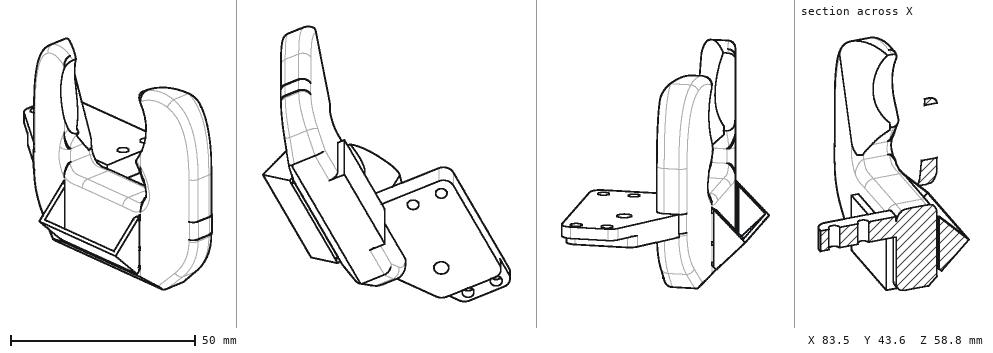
import cadquery as cq
import math


BODY_DEPTH = 12.06
BODY_HEIGHT = 58.81
HALF_WIDTH = 31.86
BOTTOM_HALF_WIDTH = 21.6
LOWER_CORNER_RADIUS = 17.0
SIDE_TOP_Z = 36.0
SIDE_CURVE_POINT = (30.95, 46.8)
CREST_X = 19.3
CREST_RADIUS = 10.45
SHOULDER_ANGLE = math.radians(26)
JAW_TIP_ANGLE = math.radians(-36)
BRIDGE_Z = 50.0
BACK_FILLET = 2.5
FRONT_FILLET = 2.0
BOTTOM_CHAMFER = 2.5

FLAT_HALF_WIDTH = 15.04
ARM_ANGLE = 13.1
ARM_SLOPE = math.tan(math.radians(ARM_ANGLE))

SADDLE_Z = 23.4
SADDLE_HALF_WIDTH = 8.0
OPENING_CORNER = (14.2, 24.4)
OPENING_SIDE = (15.35, 26.8)
OPENING_WAIST = (15.05, 29.9)
WAIST_DIRECTION = (-0.2, 1)
NECK_DIRECTION = (-0.5, 0.8)
OPENING_NECK = (11.8, 36.2)
OPENING_TOP = (9.0, 41.0)
BORE_RADIUS = 16.8
BORE_Z = 47.3

HOLLOW_BOTTOM_Z = 27.0
HOLLOW_BOTTOM_X = 16.3
HOLLOW_TOP_X = 28.3
HOLLOW_LIP_X = 13.0
HOLLOW_DEPTH = 9.3

BAND_HALF_WIDTH = 32.06
BAND_BOTTOM_Z = 17.9
BAND_INNER_X = 25.0

PLATE_LEFT = -51.41
PLATE_RIGHT = -10.68
PLATE_BACK = 22.18
PLATE_TOP = 23.27
LAYER_THICKNESS = 3.2
PLATE_BOTTOM = PLATE_TOP - 2 * LAYER_THICKNESS
PLATE_CORNER_RADIUS = 3.0
LOWER_LAYER_LEFT = -45.65
DIAGONAL_SLOPE = 0.714
DIAGONAL_LEFT_Y = 7.2
PLATE_ROOT_X = -31.5
PLATE_CONTACT_X = -20.0
LEFT_HOLE_DIAMETER = 3.2
RIGHT_HOLE_DIAMETER = 3.1
LEFT_HOLE_X = -48.8
RIGHT_HOLE_X = -14.6
HOLE_ROWS_Y = (9.6, 18.1)
CENTRE_HOLE_DIAMETER = 4.0
CENTRE_HOLE = (-36.5, 7.5)

BLOCK_HALF_WIDTH = 12.6
BLOCK_DEPTH = 2.06

TRAY_TOP_Z = 21.2
TRAY_REACH = 9.33
TRAY_APEX_Z = TRAY_TOP_Z - TRAY_REACH
TRAY_FLOOR_RUN = 8.07
TRAY_WALL = 1.42
TRAY_FLOOR = 1.06
TRAY_GAP = 0.5
WALL_FLARE = 1.1
SLOT_RANGES = ((5.8, 10.65), (11.5, 19.6))


def crest_point(angle):
    """Point of the crest arc at an angle from its highest point, positive toward the outside."""
    return (
        CREST_X + CREST_RADIUS * math.sin(angle),
        BODY_HEIGHT - CREST_RADIUS * (1 - math.cos(angle)),
    )


def outer_outline(depth):
    """Solid outline of the clamp, with the arms still bridged over the bore."""
    bend = LOWER_CORNER_RADIUS * math.sqrt(0.5)
    corner_x = HALF_WIDTH - LOWER_CORNER_RADIUS + bend
    corner_z = corner_x - BOTTOM_HALF_WIDTH
    arc_top_z = corner_z + bend
    half_turn = math.radians(45) / 2
    arc_mid = (
        HALF_WIDTH - LOWER_CORNER_RADIUS * (1 - math.cos(half_turn)),
        arc_top_z - LOWER_CORNER_RADIUS * math.sin(half_turn),
    )
    shoulder_direction = (-math.cos(SHOULDER_ANGLE), math.sin(SHOULDER_ANGLE))
    half = (
        cq.Workplane("XZ")
        .lineTo(BOTTOM_HALF_WIDTH, 0)
        .lineTo(corner_x, corner_z)
        .threePointArc(arc_mid, (HALF_WIDTH, arc_top_z))
        .lineTo(HALF_WIDTH, SIDE_TOP_Z)
        .spline(
            [SIDE_CURVE_POINT, crest_point(SHOULDER_ANGLE)],
            tangents=[(0, 1), shoulder_direction],
            includeCurrent=True,
        )
        .threePointArc((CREST_X, BODY_HEIGHT), crest_point(JAW_TIP_ANGLE))
        .lineTo(0, BRIDGE_Z)
        .close()
        .extrude(depth)
    )
    return half.union(half.mirror("YZ")).clean()


def opening(depth):
    """Cutter for the rounded space between the arms, above the saddle."""
    half = (
        cq.Workplane("XZ")
        .moveTo(0, SADDLE_Z)
        .lineTo(SADDLE_HALF_WIDTH, SADDLE_Z)
        .spline(
            [OPENING_CORNER, OPENING_SIDE, OPENING_WAIST],
            tangents=[(1, 0), WAIST_DIRECTION],
            includeCurrent=True,
        )
        .spline(
            [OPENING_NECK, OPENING_TOP],
            tangents=[WAIST_DIRECTION, NECK_DIRECTION],
            includeCurrent=True,
        )
        .lineTo(0, OPENING_TOP[1])
        .close()
        .extrude(depth)
    )
    return half.union(half.mirror("YZ")).clean()


def arm_front_y(x):
    """Y of an arm's sloping front face at distance x from the symmetry plane."""
    return -BODY_DEPTH + ARM_SLOPE * (x - FLAT_HALF_WIDTH)


def sloping_front_cutter():
    """Everything in front of the plane of the right arm's front face."""
    reach = 2 * HALF_WIDTH
    front_y = 2 * arm_front_y(-reach)
    return (
        cq.Workplane("XY")
        .moveTo(-reach, arm_front_y(-reach))
        .lineTo(reach, arm_front_y(reach))
        .lineTo(reach, front_y)
        .lineTo(-reach, front_y)
        .close()
        .extrude(BODY_HEIGHT)
    )


def rounded_blank(blank, front_selector):
    """Blank with the rims of its back face and of its front face rounded."""
    rounded = blank.faces(">Y").edges().fillet(BACK_FILLET)
    return rounded.faces(front_selector).edges("not <Z").fillet(FRONT_FILLET)


def centre_section():
    """Middle of the clamp, with a flat front."""
    blank = outer_outline(BODY_DEPTH).cut(opening(BODY_DEPTH))
    zone = cq.Workplane("XY").box(
        2 * FLAT_HALF_WIDTH, 2 * BODY_DEPTH, BODY_HEIGHT, centered=(True, True, False)
    )
    return rounded_blank(blank, "<Y").intersect(zone)


def right_arm():
    """Right arm, whose sloping front starts where the flat centre ends."""
    blank_depth = -arm_front_y(-HALF_WIDTH)
    blank = outer_outline(blank_depth).cut(opening(blank_depth)).cut(sloping_front_cutter())
    front = cq.selectors.ParallelDirSelector(cq.Vector(ARM_SLOPE, -1, 0))
    zone = cq.Workplane("XY").box(
        HALF_WIDTH, 2 * BODY_DEPTH, BODY_HEIGHT, centered=(False, True, False)
    ).translate((FLAT_HALF_WIDTH, 0, 0))
    return rounded_blank(blank, front).intersect(zone)


def bottom_chamfer():
    """Cutter that bevels the bottom front edge."""
    return (
        cq.Workplane("YZ")
        .moveTo(-BODY_DEPTH, 0)
        .lineTo(-BODY_DEPTH + BOTTOM_CHAMFER, 0)
        .lineTo(-BODY_DEPTH, BOTTOM_CHAMFER)
        .close()
        .extrude(HALF_WIDTH, both=True)
    )


def jaw_hollow():
    """Cutter behind the right jaw, upright at the bottom and slanting ever more toward the top."""

    def section(back_x, z):
        corners = [(back_x, 0), (HOLLOW_LIP_X, -HOLLOW_DEPTH), (0, -HOLLOW_DEPTH), (0, 0)]
        return cq.Wire.makePolygon([cq.Vector(x, y, z) for x, y in corners], close=True)

    bottom = section(HOLLOW_BOTTOM_X, HOLLOW_BOTTOM_Z)
    top = section(HOLLOW_TOP_X, BODY_HEIGHT)
    return cq.Workplane(cq.Solid.makeLoft([bottom, top], True))


def clamp_body():
    """Centre section and both arms, with the bore and the hollows cut."""
    arm = right_arm()
    body = centre_section().union(arm).union(arm.mirror("YZ"))
    bore = cq.Workplane("XZ").center(0, BORE_Z).circle(BORE_RADIUS).extrude(BODY_DEPTH)
    hollow = jaw_hollow()
    return body.cut(bore).cut(hollow).cut(hollow.mirror("YZ")).cut(bottom_chamfer())


def side_band():
    """Raised band on the outer side of the right arm."""
    outer_y = arm_front_y(BAND_HALF_WIDTH)
    return (
        cq.Workplane("XY", origin=(0, 0, BAND_BOTTOM_Z))
        .moveTo(BAND_INNER_X, 0)
        .lineTo(BAND_HALF_WIDTH, 0)
        .lineTo(BAND_HALF_WIDTH, outer_y)
        .lineTo(BAND_INNER_X, arm_front_y(BAND_INNER_X))
        .close()
        .extrude(PLATE_TOP - BAND_BOTTOM_Z)
        .edges("|Z").edges(">X").edges(">Y")
        .fillet(BACK_FILLET)
        .edges("|Z").edges(">X").edges("<Y")
        .fillet(FRONT_FILLET)
    )


def diagonal_y(x):
    """Y of the plate's diagonal edge at x."""
    return DIAGONAL_LEFT_Y - DIAGONAL_SLOPE * (x - PLATE_LEFT)


def plate_layer(left_x, bottom_z):
    """One layer of the mounting plate; both layers share the diagonal, right and back edges."""
    layer = (
        cq.Workplane("XY", origin=(0, 0, bottom_z))
        .moveTo(left_x, PLATE_BACK)
        .lineTo(left_x, diagonal_y(left_x))
        .lineTo(PLATE_ROOT_X, diagonal_y(PLATE_ROOT_X))
        .lineTo(PLATE_CONTACT_X, 0)
        .lineTo(PLATE_RIGHT, 0)
        .lineTo(PLATE_RIGHT, PLATE_BACK)
        .close()
        .extrude(LAYER_THICKNESS)
    )
    return layer.edges("(|Z and >Y) or (|Z and <X)").fillet(PLATE_CORNER_RADIUS)


def plate_holes():
    left = [(LEFT_HOLE_X, y) for y in HOLE_ROWS_Y]
    right = [(RIGHT_HOLE_X, y) for y in HOLE_ROWS_Y]
    holes = cq.Workplane("XY", origin=(0, 0, PLATE_BOTTOM))
    height = PLATE_TOP - PLATE_BOTTOM
    return (
        holes.pushPoints(left)
        .circle(LEFT_HOLE_DIAMETER / 2)
        .extrude(height)
        .union(holes.pushPoints(right).circle(RIGHT_HOLE_DIAMETER / 2).extrude(height))
        .union(holes.pushPoints([CENTRE_HOLE]).circle(CENTRE_HOLE_DIAMETER / 2).extrude(height))
    )


def mounting_plate():
    upper = plate_layer(PLATE_LEFT, PLATE_BOTTOM + LAYER_THICKNESS)
    lower = plate_layer(LOWER_LAYER_LEFT, PLATE_BOTTOM)
    return upper.union(lower).cut(plate_holes())


def back_block():
    """Block on the back of the body, below the plate and rooted in the body."""
    return cq.Workplane("XY").box(
        2 * BLOCK_HALF_WIDTH, BLOCK_DEPTH + BACK_FILLET, PLATE_BOTTOM, centered=(True, False, False)
    ).translate((0, -BACK_FILLET, 0))


def tray():
    """Open tray whose 45 degree floor hangs from two triangular side walls."""
    front_y = -BODY_DEPTH
    apex_y = front_y - TRAY_REACH
    floor_end = (apex_y + TRAY_FLOOR_RUN, TRAY_APEX_Z - TRAY_FLOOR_RUN)
    floor_standoff = front_y - floor_end[0]
    outer = (
        cq.Workplane("YZ")
        .moveTo(front_y, TRAY_TOP_Z)
        .lineTo(apex_y, TRAY_APEX_Z)
        .lineTo(*floor_end)
        .lineTo(front_y, floor_end[1] + floor_standoff)
        .close()
        .extrude(FLAT_HALF_WIDTH, both=True)
    )
    inner_half = FLAT_HALF_WIDTH - TRAY_WALL
    floor_rise = TRAY_FLOOR * math.sqrt(2)
    reach = 2 * TRAY_REACH
    cavity = (
        cq.Workplane("YZ")
        .moveTo(apex_y, TRAY_APEX_Z + floor_rise)
        .lineTo(apex_y, TRAY_APEX_Z + reach)
        .lineTo(front_y, TRAY_APEX_Z + reach)
        .lineTo(front_y, TRAY_APEX_Z + floor_rise - TRAY_REACH)
        .close()
        .extrude(inner_half, both=True)
    )
    flare = (
        cq.Workplane("XY")
        .moveTo(inner_half, front_y)
        .lineTo(inner_half + WALL_FLARE, front_y)
        .lineTo(inner_half, front_y - WALL_FLARE)
        .close()
        .extrude(TRAY_TOP_Z)
    )
    gap = cq.Workplane("XY").box(
        2 * (inner_half + WALL_FLARE), TRAY_GAP, TRAY_TOP_Z, centered=(True, False, False)
    ).translate((0, front_y - TRAY_GAP, 0))
    shape = outer.cut(cavity).cut(flare).cut(flare.mirror("YZ")).cut(gap)
    for bottom_z, top_z in SLOT_RANGES:
        slot = cq.Workplane("XY", origin=(0, front_y - TRAY_GAP, bottom_z)).box(
            2 * FLAT_HALF_WIDTH, TRAY_GAP, top_z - bottom_z, centered=(True, False, False)
        )
        shape = shape.cut(slot)
    return shape


band = side_band()
result = (
    clamp_body()
    .union(band)
    .union(band.mirror("YZ"))
    .union(mounting_plate())
    .union(back_block())
    .union(tray())
)